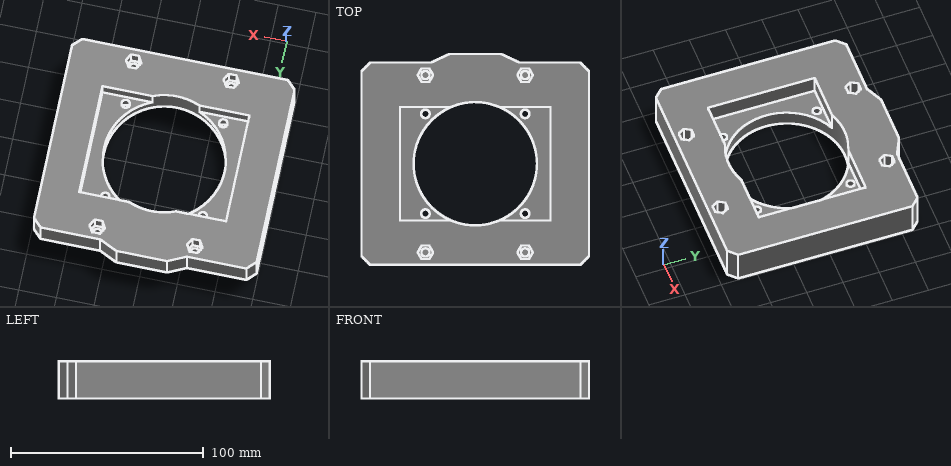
import cadquery as cq
import math

PLATE_WIDTH = 118.2
PLATE_LENGTH = 105.2
PLATE_THICKNESS = 19.5
CORNER_CHAMFER = 4.5

OVERALL_LENGTH = 109.67
TAB_HEIGHT = OVERALL_LENGTH - PLATE_LENGTH
TAB_BASE_WIDTH = 46.0
TAB_TIP_WIDTH = 27.0

BORE_DIAMETER = 64.0
POCKET_WIDTH = 78.0
POCKET_LENGTH = 59.0
POCKET_DEPTH = 10.5

SCREW_DIAMETER = 4.3
SCREW_SPACING = 51.8

NUT_SPACING_X = SCREW_SPACING
NUT_SPACING_Y = 92.1
NUT_ACROSS_FLATS = 7.0
NUT_ACROSS_CORNERS = NUT_ACROSS_FLATS / math.cos(math.radians(30))
NUT_RECESS_DEPTH = POCKET_DEPTH
BLIND_HOLE_FLOOR = 2.0
BLIND_HOLE_DEPTH = PLATE_THICKNESS - BLIND_HOLE_FLOOR


def make_plate():
    """Chamfered rectangular plate standing on Z = 0."""
    plate = cq.Workplane("XY").box(
        PLATE_WIDTH, PLATE_LENGTH, PLATE_THICKNESS, centered=(True, True, False)
    )
    return plate.edges("|Z").chamfer(CORNER_CHAMFER)


def make_tab():
    """Trapezoidal tab of full plate thickness on the +Y edge."""
    base_y = PLATE_LENGTH / 2
    tip_y = base_y + TAB_HEIGHT
    outline = [
        (-TAB_BASE_WIDTH / 2, base_y),
        (TAB_BASE_WIDTH / 2, base_y),
        (TAB_TIP_WIDTH / 2, tip_y),
        (-TAB_TIP_WIDTH / 2, tip_y),
    ]
    return cq.Workplane("XY").polyline(outline).close().extrude(PLATE_THICKNESS)


def top_plane():
    """Workplane on the top face, centred on the bore axis."""
    return cq.Workplane("XY").workplane(offset=PLATE_THICKNESS)


def make_bore():
    return cq.Workplane("XY").circle(BORE_DIAMETER / 2).extrude(PLATE_THICKNESS)


def make_pocket():
    return top_plane().rect(POCKET_WIDTH, POCKET_LENGTH).extrude(-POCKET_DEPTH)


def make_screw_holes():
    """Four through holes in the corners of the pocket."""
    corners = cq.Workplane("XY").rect(SCREW_SPACING, SCREW_SPACING, forConstruction=True)
    return corners.vertices().circle(SCREW_DIAMETER / 2).extrude(PLATE_THICKNESS)


def make_nut_recesses():
    """Four hexagonal recesses, each with a coaxial blind hole."""
    centres = top_plane().rect(NUT_SPACING_X, NUT_SPACING_Y, forConstruction=True).vertices()
    hexagons = centres.polygon(6, NUT_ACROSS_CORNERS).extrude(-NUT_RECESS_DEPTH)
    holes = centres.circle(SCREW_DIAMETER / 2).extrude(-BLIND_HOLE_DEPTH)
    return hexagons.union(holes)


result = (
    make_plate()
    .union(make_tab())
    .cut(make_bore())
    .cut(make_pocket())
    .cut(make_screw_holes())
    .cut(make_nut_recesses())
)